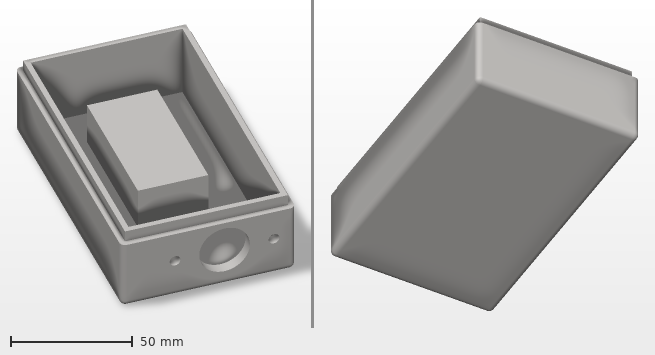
import cadquery as cq

length = 127.0
width = 76.2
height = 36.8
edge_radius = 2.5

lip_inset = 2.5
lip_height = 5.1
lip_thickness = 2.4

floor_thickness = 4.1
wall_thickness = lip_inset + lip_thickness

block_length = 61.0
block_width = 30.7
block_height = 18.9
block_center_x = -10.2
block_center_y = 0.3

port_diameter = 22.1
screw_diameter = 4.7
screw_offset = 21.6
port_center_y = 7.0
port_center_z = 17.9

shoulder_height = height - lip_height


def upright_box(size_x, size_y, size_z, base_z):
    """Box centred on the Z axis, standing on base_z."""
    return (
        cq.Workplane("XY")
        .workplane(offset=base_z)
        .rect(size_x, size_y)
        .extrude(size_z)
    )


def make_shell():
    """Rounded body with a square-cornered lip, hollowed from above."""
    body = upright_box(length, width, shoulder_height, 0)
    body = body.edges("|Z or <Z").fillet(edge_radius)
    lip = upright_box(length - 2 * lip_inset, width - 2 * lip_inset, lip_height, shoulder_height)
    cavity = upright_box(
        length - 2 * wall_thickness,
        width - 2 * wall_thickness,
        height - floor_thickness,
        floor_thickness,
    )
    return body.union(lip).cut(cavity)


def make_block():
    """Rectangular block standing on the cavity floor."""
    block = upright_box(block_length, block_width, block_height, floor_thickness)
    return block.translate((block_center_x, block_center_y, 0))


def make_end_wall_openings():
    """Round port with a screw hole on each side, through the +X wall only."""
    wall_plane = cq.Workplane("YZ", origin=(length / 2 - wall_thickness, port_center_y, port_center_z))
    port = wall_plane.circle(port_diameter / 2).extrude(wall_thickness)
    screw_holes = (
        wall_plane.pushPoints([(-screw_offset, 0), (screw_offset, 0)])
        .circle(screw_diameter / 2)
        .extrude(wall_thickness)
    )
    return port.union(screw_holes)


result = make_shell().union(make_block()).cut(make_end_wall_openings())